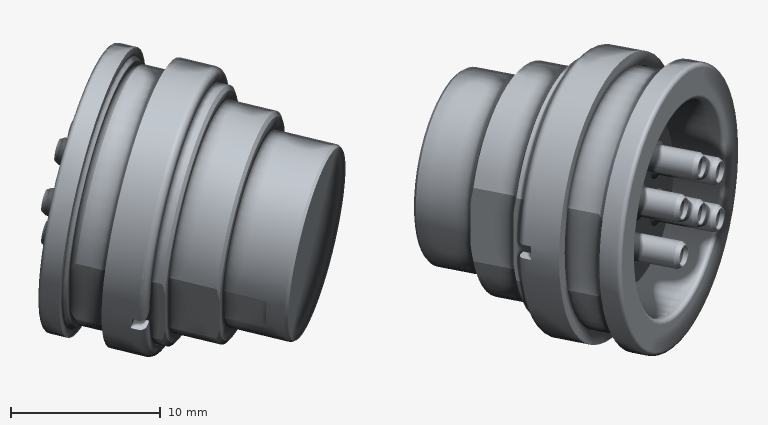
import cadquery as cq
import math

flange_rear = 1.55
seat_rear = 1.82
body_start = 2.25
nut_front = 4.48
nut_length = 3.05
body_rear = 8.45
neck_rear = 11.98
key_flat_rear = 15
sleeve_rear = 16.5

flange_dia = 20
flange_round = 0.3
seat_front_dia = 18.8
seat_rear_dia = 18.28
undercut_dia = 17.18
body_dia = 18
neck_dia = 16.08
sleeve_dia = 13.6
rear_edge_length = 0.2
body_edge_drop = 0.32
neck_edge_drop = 0.32
sleeve_edge_drop = 0.15

body_flat_offset = 8.45
neck_flat_offset = 7.55
key_flat_offset = 6.65

cavity_dia = 15
cavity_depth = 4.6
cavity_round = 0.3
insert_dia = 11.7
insert_front = 3

nut_dia = 20
nut_bore = 18.1
nut_round = 0.5
slot_width = 1
slot_depth = 1

pin_dia = 1.9
pin_overhang = 1.6
pin_tip_dia = 1.55
pin_tip_length = 0.32
cup_dia = 1.4
cup_depth = 2
collar_dia = 2.6
collar_length = 0.3
pin_circle_radius = 3.5
pin_angles = (-30, 30, 90, 150, 210)


def revolve_about_axis(outline):
    """Turn a closed (x, radius) outline about the X axis."""
    return cq.Workplane("XY").polyline(outline).close().revolve(360, (0, 0, 0), (1, 0, 0))


def rod(x_start, x_end, diameter):
    """Cylinder on the X axis between two stations."""
    start_plane = cq.Workplane("YZ", origin=(x_start, 0, 0))
    return start_plane.circle(diameter / 2).extrude(x_end - x_start)


def outside_flat(x_start, x_end, offset, side):
    """Block of material lying beyond a flat on the +Y (side 1) or -Y (side -1) face."""
    thickness = flange_dia / 2
    return cq.Workplane("XY").box(x_end - x_start, thickness, flange_dia).translate(
        ((x_start + x_end) / 2, side * (offset + thickness / 2), 0)
    )


def shell_blank():
    """Solid flange, tapered seat and stepped barrel with their flats."""
    flange = rod(0, flange_rear, flange_dia).faces("<X").edges().fillet(flange_round)
    seat = revolve_about_axis([
        (flange_rear, 0),
        (flange_rear, seat_front_dia / 2),
        (seat_rear, seat_rear_dia / 2),
        (seat_rear, 0),
    ])
    barrel = revolve_about_axis([
        (flange_rear, 0),
        (flange_rear, undercut_dia / 2),
        (body_start, body_dia / 2),
        (body_rear - rear_edge_length, body_dia / 2),
        (body_rear, body_dia / 2 - body_edge_drop),
        (body_rear, neck_dia / 2),
        (neck_rear - rear_edge_length, neck_dia / 2),
        (neck_rear, neck_dia / 2 - neck_edge_drop),
        (neck_rear, sleeve_dia / 2),
        (sleeve_rear - rear_edge_length, sleeve_dia / 2),
        (sleeve_rear, sleeve_dia / 2 - sleeve_edge_drop),
        (sleeve_rear, 0),
    ])
    for side in (-1, 1):
        barrel = barrel.cut(outside_flat(seat_rear, body_rear, body_flat_offset, side))
        barrel = barrel.cut(outside_flat(body_rear, neck_rear, neck_flat_offset, side))
    barrel = barrel.cut(outside_flat(neck_rear, key_flat_rear, key_flat_offset, -1))
    return flange.union(seat).union(barrel)


def cut_cavity(shell):
    """Hollow the flange end around the insert and round the mouth."""
    insert = rod(insert_front, cavity_depth, insert_dia)
    ring_cavity = rod(0, cavity_depth, cavity_dia).cut(insert)
    shell = shell.cut(ring_cavity)
    smallest_circle = cq.selectors.RadiusNthSelector(0)
    return shell.faces("<X").edges(smallest_circle).fillet(cavity_round)


def pin(y, z):
    """Contact pin with a tapered tip, a conical root collar and a solder cup."""
    outline = [
        (-pin_overhang, 0),
        (-pin_overhang, pin_tip_dia / 2),
        (-pin_overhang + pin_tip_length, pin_dia / 2),
        (insert_front - collar_length, pin_dia / 2),
        (insert_front, collar_dia / 2),
        (insert_front, 0),
    ]
    cup = rod(-pin_overhang, cup_depth - pin_overhang, cup_dia)
    return revolve_about_axis(outline).cut(cup).translate((0, y, z))


def make_connector():
    """Shell, insert and contact pins as one solid."""
    connector = cut_cavity(shell_blank()).union(pin(0, 0))
    for angle in pin_angles:
        y = pin_circle_radius * math.cos(math.radians(angle))
        z = pin_circle_radius * math.sin(math.radians(angle))
        connector = connector.union(pin(y, z))
    return connector


def make_nut():
    """Round nut around the body, with a rear spanner slot at +Y and -Y."""
    nut_rear = nut_front + nut_length
    nut = rod(nut_front, nut_rear, nut_dia).faces(">X").edges().fillet(nut_round)
    nut = nut.cut(rod(nut_front, nut_rear, nut_bore))
    slots = cq.Workplane("XY").box(slot_depth, nut_dia, slot_width).translate(
        (nut_rear - slot_depth / 2, 0, 0)
    )
    return nut.cut(slots)


connector = make_connector()
nut = make_nut()
result = cq.Compound.makeCompound([connector.val(), nut.val()])